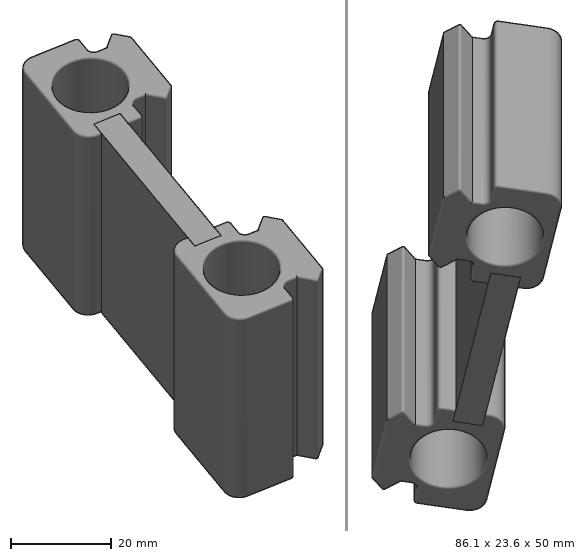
import cadquery as cq

total_length = 86.1
depth = 23.6
height = 50.0

block_width = 26.0
shoulder_depth = 14.2
front_corner_radius = 3.5
shoulder_corner_radius = 0.8
neck_half_width = 7.8
neck_fillet_radius = 1.5
head_half_width = 8.0
tip_half_width = 10.85
edge_radius = 0.5
tip_radius = edge_radius

bore_diameter = 15.25
bore_offset = 9.6

plate_length = 40.1
plate_thickness = 6.0
plate_offset = 7.6

front_y = -depth / 2
back_y = depth / 2
shoulder_y = front_y + shoulder_depth
block_half_width = block_width / 2
block_x = total_length / 2 - block_half_width
bore_y = front_y + bore_offset
plate_y = front_y + plate_offset

tip_y = back_y - (tip_half_width - head_half_width)
neck_top_y = tip_y - (tip_half_width - neck_half_width)


def upright_edges_at(body, half_width, y):
    """Select the pair of upright edges at x = +/- half_width on the given y."""
    left = cq.selectors.NearestToPointSelector((-half_width, y, 0))
    right = cq.selectors.NearestToPointSelector((half_width, y, 0))
    return body.edges("|Z").edges(left + right)


def make_plate():
    """Flat plate whose two ends sit in the slots of the blocks."""
    return cq.Workplane("XY").box(plate_length, plate_thickness, height).translate((0, plate_y, 0))


def make_blank():
    """Block with a dovetail head along its back, centred on x = 0."""
    right_side = [
        (block_half_width, front_y),
        (block_half_width, shoulder_y),
        (neck_half_width, shoulder_y),
        (neck_half_width, neck_top_y),
        (tip_half_width, tip_y),
        (head_half_width, back_y),
    ]
    left_side = [(-x, y) for x, y in reversed(right_side)]
    blank = (
        cq.Workplane("XY")
        .workplane(offset=-height / 2)
        .polyline(right_side + left_side)
        .close()
        .extrude(height)
    )
    blank = upright_edges_at(blank, block_half_width, front_y).fillet(front_corner_radius)
    blank = upright_edges_at(blank, block_half_width, shoulder_y).fillet(shoulder_corner_radius)
    blank = upright_edges_at(blank, neck_half_width, shoulder_y).fillet(neck_fillet_radius)
    return upright_edges_at(blank, tip_half_width, tip_y).fillet(tip_radius)


def make_block(x, plate):
    """Bored block at x, rounded on both ends and slotted for the plate."""
    bore = (
        cq.Workplane("XY")
        .workplane(offset=-height / 2)
        .center(0, bore_y)
        .circle(bore_diameter / 2)
        .extrude(height)
    )
    block = make_blank().cut(bore)
    block = block.faces("<Z or >Z").edges().fillet(edge_radius)
    return block.translate((x, 0, 0)).cut(plate).solids().val()


plate = make_plate()
blocks = [make_block(x, plate) for x in (-block_x, block_x)]

result = cq.Compound.makeCompound([plate.val(), *blocks])